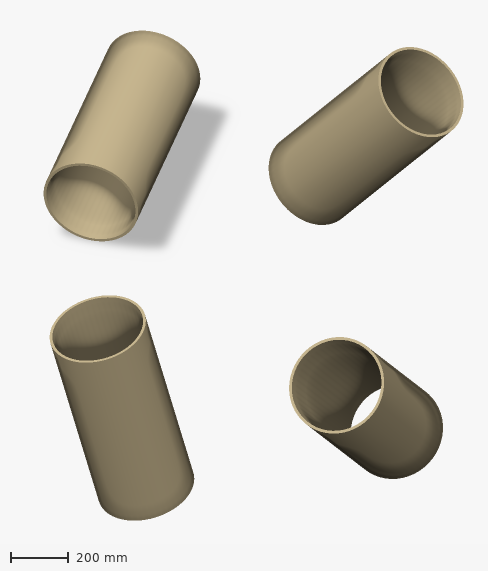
import cadquery as cq

outer_diameter = 342.9
wall_thickness = 9.9
length = 750.0

inner_diameter = outer_diameter - 2 * wall_thickness


def pipe():
    """Plain tube along the Y axis, centred on the origin."""
    end_plane = cq.Workplane("XZ", origin=(0, length / 2, 0))
    ring = end_plane.circle(outer_diameter / 2).circle(inner_diameter / 2)
    return ring.extrude(length)


result = pipe()